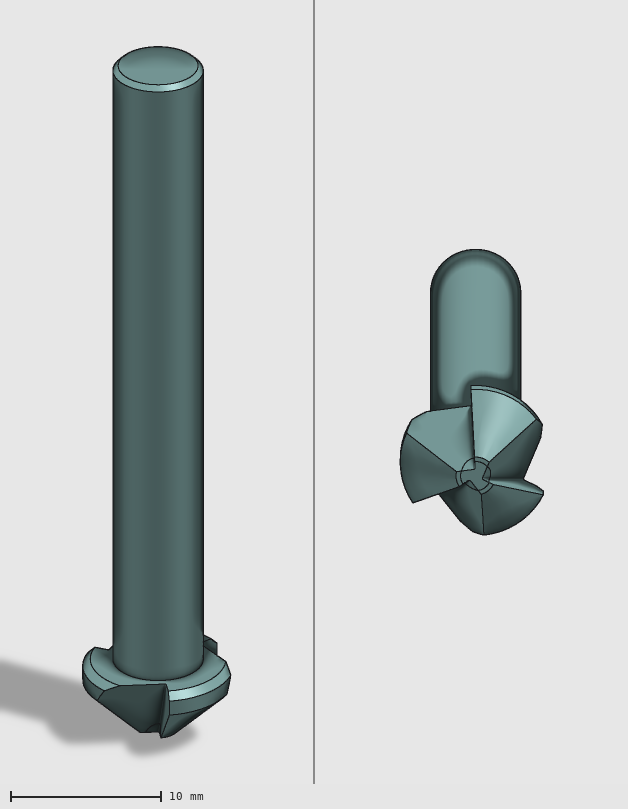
import cadquery as cq
import math

TOTAL_LENGTH = 50.0

SHANK_RADIUS = 3.0
SHANK_CHAMFER = 0.35

HEAD_HEIGHT = 5.25
HEAD_RADIUS = 5.0
TIP_RADIUS = 1.3
BACK_BEVEL = 0.5
CONE_HEIGHT = HEAD_RADIUS - TIP_RADIUS

FLUTE_COUNT = 3
FLUTE_TOP_OFFSET = 3.5
FLUTE_TILT = 30.0
RAKE_ANGLE = 4.0
ROOT_FILLET = 0.1
SPIGOT_RADIUS = 1.0
FLUTE_TIP_OFFSET = FLUTE_TOP_OFFSET - HEAD_HEIGHT * math.tan(math.radians(FLUTE_TILT))
CUTTER_REACH = 2 * HEAD_RADIUS


def make_shank():
    """Round shank, chamfered at its free end, with a spigot that runs through the head."""
    shaft = (
        cq.Workplane("XY")
        .workplane(offset=HEAD_HEIGHT)
        .circle(SHANK_RADIUS)
        .extrude(TOTAL_LENGTH - HEAD_HEIGHT)
        .faces(">Z")
        .chamfer(SHANK_CHAMFER)
    )
    return cut_flutes(shaft.union(make_spigot()))


def make_spigot():
    """Full spigot, which also serves as the cutter for its bore in the head."""
    return cq.Workplane("XY").circle(SPIGOT_RADIUS).extrude(HEAD_HEIGHT)


def make_head_blank():
    """Revolved head before the flutes are cut."""
    return (
        cq.Workplane("XZ")
        .moveTo(0, 0)
        .lineTo(TIP_RADIUS, 0)
        .lineTo(HEAD_RADIUS, CONE_HEIGHT)
        .lineTo(HEAD_RADIUS, HEAD_HEIGHT - BACK_BEVEL)
        .lineTo(HEAD_RADIUS - BACK_BEVEL, HEAD_HEIGHT)
        .lineTo(0, HEAD_HEIGHT)
        .close()
        .revolve(360, (0, 0, 0), (0, 1, 0))
    )


def make_flute_cutter():
    """Material removed by the flute on the -X side."""
    beyond_floor = (
        cq.Workplane("XZ")
        .moveTo(-FLUTE_TIP_OFFSET, 0)
        .lineTo(-FLUTE_TOP_OFFSET, HEAD_HEIGHT)
        .lineTo(-CUTTER_REACH, HEAD_HEIGHT)
        .lineTo(-CUTTER_REACH, 0)
        .close()
        .extrude(CUTTER_REACH, both=True)
    )
    ahead_of_rake_face = (
        cq.Workplane("XY")
        .box(4 * CUTTER_REACH, 2 * CUTTER_REACH, HEAD_HEIGHT, centered=(True, False, False))
        .rotate((0, 0, 0), (0, 0, 1), RAKE_ANGLE)
    )
    root_middle = (
        -(FLUTE_TIP_OFFSET + FLUTE_TOP_OFFSET) / 2,
        -(FLUTE_TIP_OFFSET + FLUTE_TOP_OFFSET) / 2 * math.tan(math.radians(RAKE_ANGLE)),
        HEAD_HEIGHT / 2,
    )
    root_edge = cq.selectors.NearestToPointSelector(root_middle)
    return beyond_floor.intersect(ahead_of_rake_face).edges(root_edge).fillet(ROOT_FILLET)


def cut_flutes(body):
    """Cut the evenly spaced flutes, which run across both the head and the spigot."""
    cutter = make_flute_cutter()
    for index in range(FLUTE_COUNT):
        angle = index * 360 / FLUTE_COUNT
        body = body.cut(cutter.rotate((0, 0, 0), (0, 0, 1), angle))
    return body


def make_head():
    """Fluted head with a through bore for the spigot."""
    return cut_flutes(make_head_blank().cut(make_spigot()))


shank = make_shank()
head = make_head()

result = cq.Compound.makeCompound([*shank.solids().vals(), *head.solids().vals()])